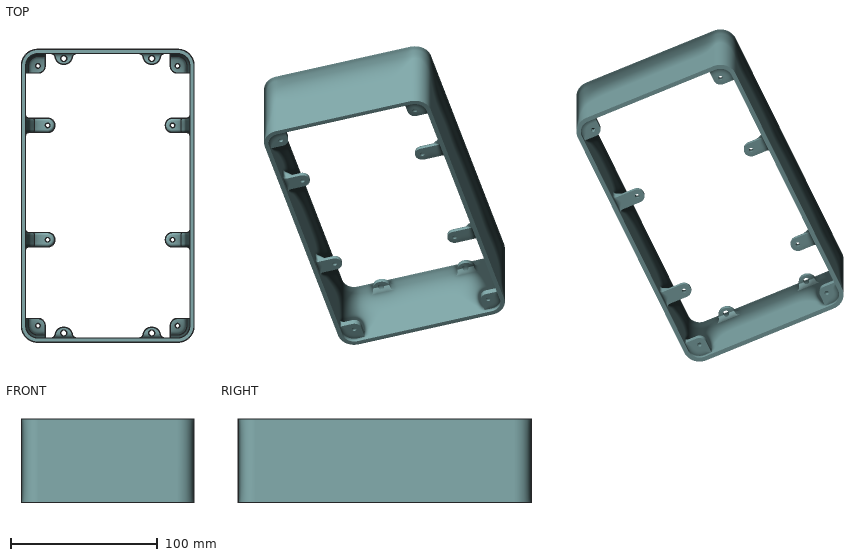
import cadquery as cq

length_x = 117.9
length_y = 199.8
height = 57.0
wall = 3.0
corner_radius = 11.4

half_x = length_x / 2
half_y = length_y / 2
inner_half_x = half_x - wall
inner_half_y = half_y - wall
inner_radius = corner_radius - wall

embed = wall / 2
screw_hole = 3.0
margin = 0.2

tab_bottom = 3.0
tab_thickness = 4.0
tab_tip_radius = 5.0
tab_bevel = 2.0

arm_bottom = 4.8
arm_thickness = 4.0
arm_width = 10.0
arm_ramp = 6.0
arm_edge_fillet = 2.0
arm_root_fillet = 2.0
arm_reach_left = 15.0
arm_reach_right = 11.8
arm_places_y = (48.0, -30.0)

lug_top = 50.7
lug_thickness = 3.0
lug_bevel = 3.0
lug_root_fillet = 3.0
lug_radius = 6.0
lug_centre_inset = 1.4
lug_hole = 4.0
lug_hole_inset = 3.4
lug_place_x = 30.0

patch_length = 24.0


def rounded_block(size_x, size_y, radius, bottom, block_height):
    block = cq.Workplane("XY").workplane(offset=bottom).rect(size_x, size_y).extrude(block_height)
    return block.edges("|Z").fillet(radius)


def cylinder(x, y, diameter, bottom, cylinder_height):
    base = cq.Workplane("XY").workplane(offset=bottom).center(x, y)
    return base.circle(diameter / 2).extrude(cylinder_height)


def wall_patch(bottom, patch_height):
    """Piece of wall along Y with its inner face on x = 0 and its body on the -X side."""
    patch = cq.Workplane("XY").box(wall, patch_length, patch_height, centered=(False, True, False))
    return patch.translate((-wall, 0, bottom))


def edges_within(low_corner, high_corner):
    return cq.selectors.BoxSelector(low_corner, high_corner)


def frame():
    outside = rounded_block(length_x, length_y, corner_radius, 0, height)
    inside = rounded_block(2 * inner_half_x, 2 * inner_half_y, inner_radius, 0, height)
    return outside.cut(inside)


def corner_tab():
    """Tab in the +X +Y corner with a bevel where its top meets the wall."""
    size = corner_radius + tab_tip_radius
    full_height = tab_thickness + tab_bevel
    block = (
        cq.Workplane("XY")
        .workplane(offset=tab_bottom)
        .center(half_x - size / 2, half_y - size / 2)
        .rect(size, size)
        .extrude(full_height)
        .edges("|Z and <X and <Y")
        .fillet(tab_tip_radius)
    )
    middle_of_wall = rounded_block(
        length_x - 2 * embed, length_y - 2 * embed, corner_radius - embed, tab_bottom, full_height
    )
    floor_outline = (
        cq.Sketch()
        .rect(2 * (inner_half_x - tab_bevel), 2 * (inner_half_y - tab_bevel))
        .vertices()
        .fillet(inner_radius - tab_bevel)
    )
    space_above = (
        cq.Workplane("XY")
        .workplane(offset=tab_bottom + tab_thickness)
        .placeSketch(floor_outline)
        .extrude(tab_bevel, taper=-45)
    )
    hole = cylinder(half_x - corner_radius, half_y - corner_radius, screw_hole, tab_bottom, full_height)
    return block.intersect(middle_of_wall).cut(space_above).cut(hole)


def arm(reach):
    """Arm growing in +X from a wall patch on x = 0, centred on y = 0 and round at its tip."""
    half_width = arm_width / 2
    tip = reach + half_width
    arm_top = arm_bottom + arm_thickness
    ramp_top = arm_top + arm_ramp + embed
    plan = (
        cq.Workplane("XY")
        .workplane(offset=arm_bottom)
        .moveTo(-embed, -half_width)
        .lineTo(reach, -half_width)
        .threePointArc((tip, 0), (reach, half_width))
        .lineTo(-embed, half_width)
        .close()
        .extrude(ramp_top - arm_bottom)
    )
    profile = (
        cq.Workplane("XZ")
        .moveTo(-embed, arm_bottom)
        .lineTo(tip, arm_bottom)
        .lineTo(tip, arm_top)
        .lineTo(arm_ramp, arm_top)
        .lineTo(-embed, ramp_top)
        .close()
        .extrude(arm_width, both=True)
    )
    body = plan.intersect(profile)

    rim = edges_within(
        (margin - embed, -arm_width, arm_top - margin),
        (tip + margin, arm_width, ramp_top + margin),
    )
    body = body.edges(rim).edges("not(|Y)").fillet(arm_edge_fillet)

    root = edges_within(
        (-margin, -half_width - margin, arm_bottom + margin),
        (margin, half_width + margin, ramp_top + margin),
    )
    blended = wall_patch(0, height / 2).union(body).edges(root).fillet(arm_root_fillet)
    return blended.cut(cylinder(reach, 0, screw_hole, arm_bottom, arm_thickness))


def lug():
    """Round lug growing in +X from a wall patch on x = 0, bevelled down the wall."""
    full_height = lug_thickness + lug_bevel
    bottom = lug_top - full_height
    tip = lug_centre_inset + lug_radius
    disc = cylinder(lug_centre_inset, 0, 2 * lug_radius, bottom, full_height)
    inner_side = (
        cq.Workplane("XY")
        .box(tip + embed, patch_length, full_height, centered=(False, True, False))
        .translate((-embed, 0, bottom))
    )
    root = edges_within(
        (-margin, -lug_radius - margin, bottom),
        (margin, lug_radius + margin, lug_top),
    )
    body = wall_patch(bottom, full_height).union(disc.intersect(inner_side))
    blended = body.edges(root).edges("|Z").fillet(lug_root_fillet)
    space_below = (
        cq.Workplane("XZ")
        .moveTo(0, bottom)
        .lineTo(tip, bottom)
        .lineTo(tip, bottom + lug_bevel)
        .lineTo(lug_bevel, bottom + lug_bevel)
        .close()
        .extrude(patch_length, both=True)
    )
    hole = cylinder(lug_hole_inset, 0, lug_hole, bottom, full_height)
    return blended.cut(space_below).cut(hole)


result = frame()

tab = corner_tab()
for side_tab in (tab, tab.mirror("YZ")):
    result = result.union(side_tab).union(side_tab.mirror("XZ"))

left_arm = arm(arm_reach_left)
right_arm = arm(arm_reach_right).mirror("YZ")
for y in arm_places_y:
    result = result.union(left_arm.translate((-inner_half_x, y, 0)))
    result = result.union(right_arm.translate((inner_half_x, y, 0)))

front_lug = lug().rotate((0, 0, 0), (0, 0, 1), 90).translate((0, -inner_half_y, 0))
for x in (-lug_place_x, lug_place_x):
    placed_lug = front_lug.translate((x, 0, 0))
    result = result.union(placed_lug).union(placed_lug.mirror("XZ"))